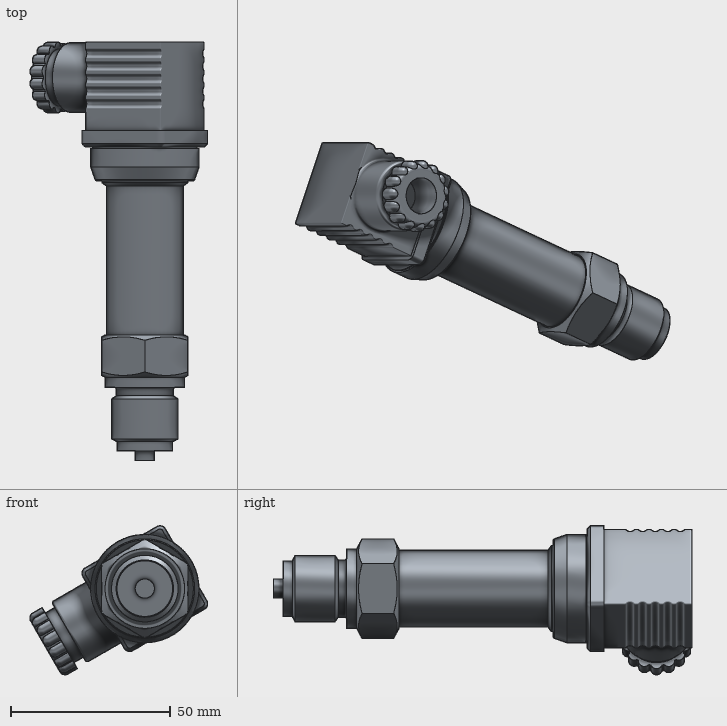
import cadquery as cq
import math


total_length = 131.4
pin_top = 3.0
boss_top = 6.0
thread_top = 19.3
relief_top = 23.0
washer_top = 26.1
nut_top = 39.4
tube_top = 86.2
collar_bottom = 87.2
hood_bottom = 87.7
hood_cone_top = 92.1
seal_bottom = 98.0
flange_bottom = 98.4
flange_top = 103.6

pin_diameter = 6.0
boss_diameter = 17.5
thread_diameter = 20.9
relief_diameter = 18.0
washer_diameter = 25.0
tube_diameter = 24.2
collar_diameter = 27.0
hood_mouth_diameter = 31.3
hood_mouth_chamfer = 0.4
hood_diameter = 34.0
seal_diameter = 32.8
thread_tip_bevel = 0.8
thread_root_bevel = 1.0
relief_fillet = 0.7

nut_across_flats = 27.0
nut_bevel_angle = 28.0

head_tilt = -30.0
flange_side = 30.0
flange_corner_radius = 2.0
flange_chamfer = 1.0
body_side = 27.5
body_edge_radius = 0.4

groove_count = 5
groove_pitch = 4.0
groove_width = 3.5
groove_hollow_width = 2.2
groove_depth = 0.8
first_groove_drop = 3.7

gland_drop = 11.2
gland_y = total_length - gland_drop
gland_diameter = 22.0
gland_neck_diameter = 18.0
gland_root_fillet = 1.0
gland_end_fillet = 0.8
gland_end = 27.5
gland_nut_start = 30.9
gland_nut_end = 36.1
gland_nut_core_diameter = 20.0
gland_nut_core_fillet = 2.0
bore_diameter = 11.3
bore_depth = 12.5
lobe_count = 15
lobe_radius = 1.8
lobe_circle_radius = 9.3


def make_stem():
    """Turned stem from the pin up to the underside of the flange."""
    thread_radius = thread_diameter / 2
    relief_radius = relief_diameter / 2
    return (
        cq.Workplane("XY")
        .lineTo(pin_diameter / 2, 0)
        .lineTo(pin_diameter / 2, pin_top)
        .lineTo(boss_diameter / 2, pin_top)
        .lineTo(boss_diameter / 2, boss_top)
        .lineTo(relief_radius, boss_top)
        .lineTo(thread_radius, boss_top + thread_tip_bevel)
        .lineTo(thread_radius, thread_top)
        .lineTo(relief_radius, thread_top + thread_root_bevel)
        .lineTo(relief_radius, relief_top - relief_fillet)
        .radiusArc((relief_radius + relief_fillet, relief_top), relief_fillet)
        .lineTo(washer_diameter / 2, relief_top)
        .lineTo(washer_diameter / 2, washer_top)
        .lineTo(tube_diameter / 2, washer_top)
        .lineTo(tube_diameter / 2, tube_top)
        .lineTo(collar_diameter / 2, collar_bottom)
        .lineTo(collar_diameter / 2, hood_bottom)
        .lineTo(hood_mouth_diameter / 2 - hood_mouth_chamfer, hood_bottom)
        .lineTo(hood_mouth_diameter / 2, hood_bottom + hood_mouth_chamfer)
        .lineTo(hood_diameter / 2, hood_cone_top)
        .lineTo(hood_diameter / 2, seal_bottom)
        .lineTo(seal_diameter / 2, seal_bottom)
        .lineTo(seal_diameter / 2, flange_bottom)
        .lineTo(0, flange_bottom)
        .close()
        .revolve(360, (0, 0), (0, 1))
    )


def make_nut():
    """Hexagon with corners up and down, both ends bevelled by cones."""
    nut_height = nut_top - washer_top
    corner_radius = nut_across_flats / 2 / math.cos(math.pi / 6)
    face_radius = washer_diameter / 2
    bevel_height = (corner_radius - face_radius) * math.tan(math.radians(nut_bevel_angle))
    hexagon = (
        cq.Workplane("XZ", origin=(0, washer_top, 0))
        .transformed(rotate=(0, 0, 90))
        .polygon(6, 2 * corner_radius)
        .extrude(-nut_height)
    )
    bevelled_round = (
        cq.Workplane("XY")
        .moveTo(0, washer_top)
        .lineTo(face_radius, washer_top)
        .lineTo(corner_radius, washer_top + bevel_height)
        .lineTo(corner_radius, nut_top - bevel_height)
        .lineTo(face_radius, nut_top)
        .lineTo(0, nut_top)
        .close()
        .revolve(360, (0, 0), (0, 1))
    )
    return hexagon.intersect(bevelled_round)


def make_flange():
    return (
        cq.Workplane("XZ", origin=(0, flange_bottom, 0))
        .rect(flange_side, flange_side)
        .extrude(flange_bottom - flange_top)
        .edges("|Y")
        .fillet(flange_corner_radius)
        .faces("<Y")
        .chamfer(flange_chamfer)
    )


def make_groove(y, side):
    """Wavy groove along X: a hollow arc running into a rounded lip at either edge."""
    half_width = groove_width / 2
    half_hollow = groove_hollow_width / 2
    arc_angle = 2 * math.atan(groove_depth / half_width)
    hollow_radius = side * half_hollow / math.sin(arc_angle)
    lip_radius = side * (half_width - half_hollow) / math.sin(arc_angle)
    surface = side * body_side / 2
    bend_z = surface - side * groove_depth * (1 - half_hollow / half_width)
    return (
        cq.Workplane("YZ", origin=(-body_side / 2, y, 0))
        .moveTo(-half_width, surface)
        .radiusArc((-half_hollow, bend_z), lip_radius)
        .radiusArc((half_hollow, bend_z), -hollow_radius)
        .radiusArc((half_width, surface), lip_radius)
        .close()
        .extrude(body_side)
    )


def make_body():
    """Square block with grooved sides; its corners and far end are rounded after grooving."""
    body = (
        cq.Workplane("XZ", origin=(0, flange_top, 0))
        .rect(body_side, body_side)
        .extrude(flange_top - total_length)
    )
    for index in range(groove_count):
        groove_y = total_length - first_groove_drop - index * groove_pitch
        for side in (-1, 1):
            body = body.cut(make_groove(groove_y, side))
    outer_faces = body.faces("<X or >X or >Y")
    return outer_faces.edges("not <Y").fillet(body_edge_radius)


def make_gland_barrel():
    """Round barrel and neck, flared at the connector body and cut off level with the body's end."""
    root = body_side / 2
    radius = gland_diameter / 2
    neck_radius = gland_neck_diameter / 2
    barrel = (
        cq.Workplane("XY", origin=(0, gland_y, 0))
        .lineTo(0, radius + gland_root_fillet)
        .lineTo(-root, radius + gland_root_fillet)
        .radiusArc((-root - gland_root_fillet, radius), gland_root_fillet)
        .lineTo(-gland_end + gland_end_fillet, radius)
        .radiusArc((-gland_end, radius - gland_end_fillet), -gland_end_fillet)
        .lineTo(-gland_end, neck_radius)
        .lineTo(-gland_nut_start, neck_radius)
        .lineTo(-gland_nut_start, 0)
        .close()
        .revolve(360, (0, 0), (1, 0))
    )
    keep = cq.Workplane("XY", origin=(-gland_nut_start / 2, total_length / 2, 0)).box(
        gland_nut_start, total_length, 2 * gland_diameter
    )
    return barrel.intersect(keep)


def make_gland_nut():
    """Round core with a ring of finger lobes, each a rod with a ball end."""
    nut = (
        cq.Workplane("YZ", origin=(-gland_nut_end, gland_y, 0))
        .circle(gland_nut_core_diameter / 2)
        .extrude(gland_nut_end - gland_nut_start)
        .faces("<X")
        .edges()
        .fillet(gland_nut_core_fillet)
    )
    ball_x = lobe_radius - gland_nut_end
    lobe = (
        cq.Workplane("YZ", origin=(-gland_nut_start, gland_y, -lobe_circle_radius))
        .circle(lobe_radius)
        .extrude(ball_x + gland_nut_start)
        .union(
            cq.Workplane("XY", origin=(ball_x, gland_y, -lobe_circle_radius)).sphere(lobe_radius)
        )
    )
    for index in range(lobe_count):
        angle = index * 360 / lobe_count
        nut = nut.union(lobe.rotate((0, gland_y, 0), (1, gland_y, 0), angle))
    return nut


def make_bore():
    return (
        cq.Workplane("YZ", origin=(-gland_nut_end, gland_y, 0))
        .circle(bore_diameter / 2)
        .extrude(bore_depth)
    )


head = (
    make_flange()
    .union(make_body())
    .union(make_gland_barrel())
    .union(make_gland_nut())
    .cut(make_bore())
    .rotate((0, 0, 0), (0, 1, 0), head_tilt)
)

result = make_stem().union(make_nut()).union(head)